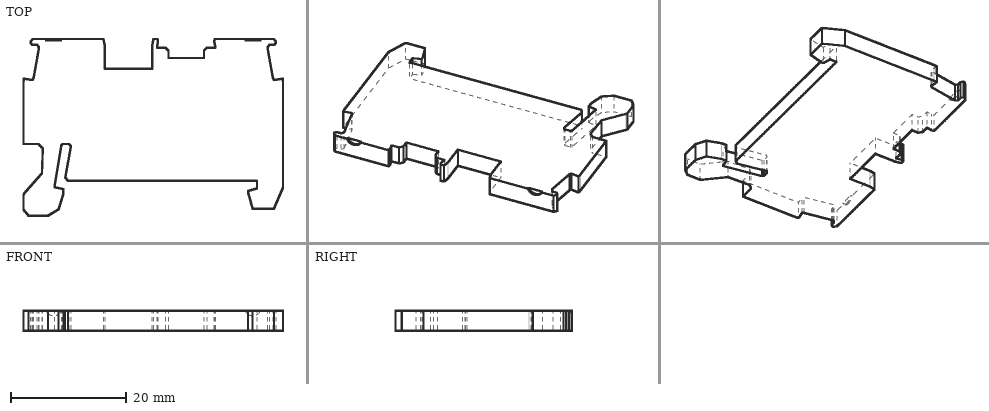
import cadquery as cq

LENGTH = 45.0
HEIGHT = 30.64
THICKNESS = 3.5
MID_X = LENGTH / 2

SHOULDER_Y = HEIGHT - 6.87
SIDE_FOOT_Y = 12.4
RAIL_FACE_Y = 6.06
HOOK_BOTTOM_Y = 1.2

ENTRY_LEFT_X = 14.1
ENTRY_RIGHT_X = 22.3
ENTRY_DEPTH = 5.15
ENTRY_LEAD_IN = 0.22
ENTRY_LEAD_DEPTH = 1.1

MARKER_X = 28.2
MARKER_MOUTH_HALF = 4.95
MARKER_NECK_HALF = 4.85
MARKER_NECK_DEPTH = 0.45
MARKER_STEP_HALF = 5.05
MARKER_STEP_DEPTH = 1.5
MARKER_WELL_HALF = 3.05
MARKER_WELL_DEPTH = 3.3
MARKER_WELL_CHAMFER = 0.55

NOTCH_X = 5.25
NOTCH_CENTRES_X = (NOTCH_X, LENGTH - NOTCH_X)
NOTCH_WIDTH = 2.6
NOTCH_DEPTH_Y = 0.25
NOTCH_DEPTH_Z = 0.9


def upper_side():
    """Left shoulder, waist and lip, listed upwards."""
    return [
        (0, SHOULDER_Y - 0.65),
        (0.07, SHOULDER_Y),
        (1.55, SHOULDER_Y - 0.23),
        (1.75, SHOULDER_Y + 0.05),
        (2.7, HEIGHT - 1.5),
        (2.37, HEIGHT - 1.04),
        (1.54, HEIGHT - 1.04),
        (1.2, HEIGHT - 0.65),
        (1.2, HEIGHT - 0.5),
        (1.66, HEIGHT),
    ]


def mirrored(points, axis_x):
    """Points reflected about a line parallel to Y, in reverse order."""
    return [(2 * axis_x - x, y) for x, y in reversed(points)]


def entry_pocket():
    """Straight-walled pocket with a flared mouth, listed from left to right."""
    return [
        (ENTRY_LEFT_X - ENTRY_LEAD_IN, HEIGHT),
        (ENTRY_LEFT_X, HEIGHT - ENTRY_LEAD_DEPTH),
        (ENTRY_LEFT_X, HEIGHT - ENTRY_DEPTH),
        (ENTRY_RIGHT_X, HEIGHT - ENTRY_DEPTH),
        (ENTRY_RIGHT_X, HEIGHT - ENTRY_LEAD_DEPTH),
        (ENTRY_RIGHT_X + ENTRY_LEAD_IN, HEIGHT),
    ]


def marker_pocket():
    """Snap-in mouth, step and chamfered well, listed from left to right."""
    step_y = HEIGHT - MARKER_STEP_DEPTH
    left_half = [
        (MARKER_X - MARKER_MOUTH_HALF, HEIGHT),
        (MARKER_X - MARKER_NECK_HALF, HEIGHT - MARKER_NECK_DEPTH),
        (MARKER_X - MARKER_STEP_HALF, step_y),
        (MARKER_X - MARKER_WELL_HALF - MARKER_WELL_CHAMFER, step_y),
        (MARKER_X - MARKER_WELL_HALF, step_y - MARKER_WELL_CHAMFER),
        (MARKER_X - MARKER_WELL_HALF, HEIGHT - MARKER_WELL_DEPTH),
    ]
    return left_half + mirrored(left_half, MARKER_X)


def fixed_hook():
    """Right rail hook, listed from the outer side round to the rail face."""
    return [
        (LENGTH, 4.9),
        (43.4, HOOK_BOTTOM_Y),
        (39.7, HOOK_BOTTOM_Y),
        (38.95, 3.9),
        (38.95, 4.33),
        (40.45, 4.75),
        (40.45, RAIL_FACE_Y),
    ]


def spring_slot():
    """Slanted slot that frees the spring foot, from the rail face up and back down."""
    return [
        (7.7, RAIL_FACE_Y),
        (7.25, 6.65),
        (8.22, 12.05),
        (7.9, SIDE_FOOT_Y),
        (6.8, SIDE_FOOT_Y),
        (6.6, 12.2),
        (5.4, 4.95),
    ]


def spring_foot():
    """Left rail foot, from its catch round the bottom and up its outer side."""
    return [
        (6.92, 4.65),
        (6.92, 3.7),
        (6.12, 1.1),
        (4.27, 0),
        (0.9, 0),
        (0, 1.05),
        (0, 3.6),
        (0.15, 3.9),
        (3.2, 7.35),
        (3.35, 11.65),
        (2.62, SIDE_FOOT_Y),
        (0, SIDE_FOOT_Y),
    ]


def rim_notch(centre_x):
    """Cutter for one notch, open to the upper face and to the +Y rim."""
    half = NOTCH_WIDTH / 2
    return (
        cq.Workplane("XZ", origin=(centre_x, HEIGHT, THICKNESS))
        .moveTo(-half, 0)
        .threePointArc((0, -NOTCH_DEPTH_Z), (half, 0))
        .close()
        .extrude(NOTCH_DEPTH_Y)
    )


outline = (
    upper_side()
    + entry_pocket()
    + marker_pocket()
    + mirrored(upper_side(), MID_X)
    + fixed_hook()
    + spring_slot()
    + spring_foot()
)

result = cq.Workplane("XY").polyline(outline).close().extrude(THICKNESS)

for notch_x in NOTCH_CENTRES_X:
    result = result.cut(rim_notch(notch_x))